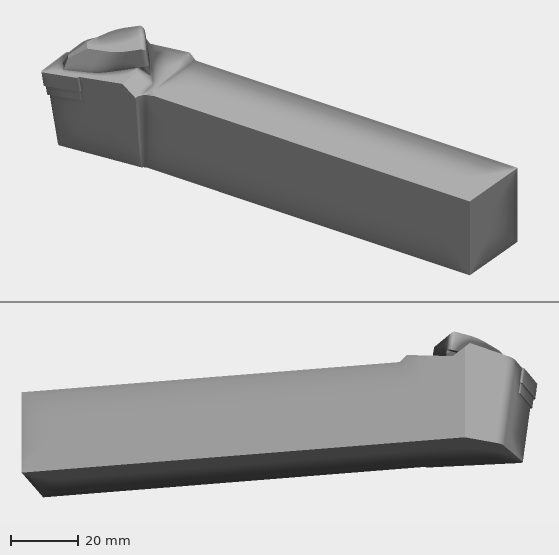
import cadquery as cq
import math

LENGTH = 150.0
SHANK_SIZE = 25.0
SHANK_START = 33.9

TIP_X = -0.06
TIP_Y = -7.0
TIP_Z = SHANK_SIZE
RAKE = math.tan(math.radians(6))

EDGE_LENGTH = 12.9
EDGE_SKEW = 5
TIP_ANGLE = 90 - 2 * EDGE_SKEW
BISECTOR = 45
TIP_RADIUS = 0.8
INSERT_THICKNESS = 4.8
SHIM_THICKNESS = 3.2
SHIM_INSET = 0.38

HEAD_INSET = 0.68
HEAD_CORNER_RADIUS = 1.2
HEAD_SHOULDER_RADIUS = 5.1
BEVEL_OFFSET = 17.8
NECK_RADIUS = 4.4 / 2
HEAD_DEPTH = 36.0
REACH = 60.0
MARGIN = 9.0

FLOOR_DROP = 4.6
SLOPE_RUN = 4.0
RIDGE_DISTANCE = 29.0
SIDE_RIDGE_X = 27.8

CLAMP_ANGLE = 36
CLAMP_SHIFT = 1.5
CLAMP_HEIGHT = 6.0
CLAMP_REAR = 32.4
CLAMP_REAR_RADIUS = 1.6
CLAMP_CORNER_RADIUS = 1.2
NOSE_FOOT = 7.0
NOSE_KNEE = 8.8
NOSE_KNEE_HEIGHT = 3.0
NOSE_TOP = 15.0
BASE_FLANK = [(5.1, 1.2), (14.8, 6.0), (21.8, 7.2)]
TOP_FLANK = [(11.8, 0.3), (20.4, 5.1), (26.7, 7.0)]
ARC_BULGE = 0.13

NOTCH_X = 2.2
NOTCH_Y = 2.5
NOTCH_Z = 0.5

TIP_PLANE = cq.Plane(
    origin=(TIP_X, TIP_Y, TIP_Z), xDir=(1, 0, RAKE), normal=(-RAKE, -RAKE, 1)
)


def plane_at(height):
    """The tip frame raised along its own normal."""
    return cq.Plane(
        origin=TIP_PLANE.toWorldCoords((0, 0, height)).toTuple(),
        xDir=TIP_PLANE.xDir,
        normal=TIP_PLANE.zDir,
    )


def polar(length, angle):
    return (length * math.cos(math.radians(angle)), length * math.sin(math.radians(angle)))


def corner_point(inset):
    """Corner of the cutting edges after both are moved inward by inset."""
    return polar(inset / math.sin(math.radians(TIP_ANGLE / 2)), BISECTOR)


def rhombus(top, thickness, inset):
    """Rhombic plate with round corners, top at the given height in the tip frame."""
    side = EDGE_LENGTH - 2 * inset / math.sin(math.radians(TIP_ANGLE))
    tip_x, tip_y = corner_point(inset)
    front_x, front_y = polar(side, EDGE_SKEW)
    left_x, left_y = polar(side, 90 - EDGE_SKEW)
    points = [
        (tip_x, tip_y),
        (tip_x + front_x, tip_y + front_y),
        (tip_x + front_x + left_x, tip_y + front_y + left_y),
        (tip_x + left_x, tip_y + left_y),
    ]
    plate = cq.Workplane(plane_at(top)).polyline(points).close().extrude(-thickness)
    return plate.edges(cq.selectors.ParallelDirSelector(TIP_PLANE.zDir)).fillet(TIP_RADIUS)


def clamp_plane(shift):
    """Frame for profiles along the clamp: X along its axis, Y up from the insert's top face."""
    axis_x, axis_y = polar(1.5, CLAMP_ANGLE)
    side_x, side_y = polar(shift, CLAMP_ANGLE + 90)
    axis = TIP_PLANE.toWorldCoords((axis_x, axis_y, 0)) - TIP_PLANE.origin
    return cq.Plane(
        origin=TIP_PLANE.toWorldCoords((side_x, side_y, 0)).toTuple(),
        xDir=axis,
        normal=axis.cross(TIP_PLANE.zDir),
    )


def make_slope_cutter():
    """Space above the two slopes, the fan that joins them, and the floor behind."""
    axis_cos, axis_sin = polar(1, CLAMP_ANGLE)
    corner_y = (RIDGE_DISTANCE - SIDE_RIDGE_X * axis_cos) / axis_sin
    corner = TIP_PLANE.toWorldCoords((SIDE_RIDGE_X, corner_y, 0))
    section = [
        (0, FLOOR_DROP),
        (0, 0),
        (SLOPE_RUN, -FLOOR_DROP),
        (REACH, -FLOOR_DROP),
        (REACH, FLOOR_DROP),
    ]

    def section_facing(direction):
        plane = cq.Plane(origin=corner, xDir=direction, normal=direction.cross(TIP_PLANE.zDir))
        return cq.Workplane(plane).polyline(section).close()

    side_slope = section_facing(TIP_PLANE.xDir).extrude(REACH)
    fan = section_facing(TIP_PLANE.xDir).revolve(CLAMP_ANGLE, (0, 0, 0), (0, 1, 0))
    clamp_slope = section_facing(clamp_plane(0).xDir).extrude(-REACH)
    return side_slope.union(fan).union(clamp_slope)


def round_upright_edge(body, point, radius):
    """Round the edge that runs along the tip frame's normal nearest to a point of that frame."""
    location = TIP_PLANE.toWorldCoords((*point, -HEAD_DEPTH / 2)).toTuple()
    upright = body.edges(cq.selectors.ParallelDirSelector(TIP_PLANE.zDir))
    return upright.edges(cq.selectors.NearestToPointSelector(location)).fillet(radius)


def make_head():
    corner = corner_point(HEAD_INSET)
    skew = math.tan(math.radians(EDGE_SKEW))
    shoulder_y = (BEVEL_OFFSET + corner[0] - skew * corner[1]) / (1 - skew)
    shoulder = (shoulder_y - BEVEL_OFFSET, shoulder_y)
    outline = [
        corner,
        (corner[0] + REACH, corner[1] + skew * REACH),
        (REACH, REACH + BEVEL_OFFSET),
        shoulder,
    ]
    head = cq.Workplane(TIP_PLANE).polyline(outline).close().extrude(-HEAD_DEPTH)
    head = round_upright_edge(head, corner, HEAD_CORNER_RADIUS)
    head = round_upright_edge(head, shoulder, HEAD_SHOULDER_RADIUS)

    neck_x = SHANK_START - NECK_RADIUS
    bend = NECK_RADIUS * math.sqrt(0.5)
    footprint = (
        cq.Workplane("XY")
        .moveTo(-MARGIN, TIP_Y - MARGIN)
        .lineTo(neck_x, TIP_Y - MARGIN)
        .lineTo(neck_x, -NECK_RADIUS)
        .threePointArc((SHANK_START - bend, bend - NECK_RADIUS), (SHANK_START, 0))
        .lineTo(SHANK_START, SHANK_SIZE)
        .lineTo(-MARGIN, SHANK_SIZE)
        .close()
        .extrude(REACH)
    )
    ramp = (
        cq.Workplane("XZ", origin=(SHANK_START, 0, SHANK_SIZE))
        .polyline([(0, 0), (0, REACH), (-REACH, REACH)])
        .close()
        .extrude(REACH, both=True)
    )
    return head.intersect(footprint).cut(ramp).cut(make_slope_cutter())


def make_notch():
    """Tetrahedron that trims the shank's corner beside the neck."""
    corner = (SHANK_START, 0, SHANK_SIZE)
    along = (SHANK_START + NOTCH_X, 0, SHANK_SIZE)
    across = (SHANK_START, NOTCH_Y, SHANK_SIZE)
    below = (SHANK_START, 0, SHANK_SIZE - NOTCH_Z)
    triangles = [
        (corner, along, across),
        (corner, along, below),
        (corner, across, below),
        (along, across, below),
    ]
    faces = [cq.Face.makeFromWires(cq.Wire.makePolygon(list(points), close=True)) for points in triangles]
    return cq.Workplane(cq.Solid.makeSolid(cq.Shell.makeShell(faces)))


def make_shank():
    shank = cq.Workplane("XY").box(LENGTH - SHANK_START, SHANK_SIZE, SHANK_SIZE, centered=False)
    return shank.translate((SHANK_START, 0, 0)).cut(make_notch())


def flank_wire(body, flank, rear):
    """Closed clamp outline, symmetric about the clamp axis, with a bend in each flank."""
    (nose, nose_half), (bend, bend_half), (straight, half) = flank
    slope = (bend_half - nose_half) / (bend - nose)
    middle = (bend + straight) / 2
    chord_half = (bend_half + half) / 2
    middle_half = chord_half + ARC_BULGE * slope * (straight - bend)
    inset = CLAMP_CORNER_RADIUS * (1 - math.sqrt(0.5))
    return (
        body.moveTo(nose, -nose_half)
        .lineTo(bend, -bend_half)
        .threePointArc((middle, -middle_half), (straight, -half))
        .lineTo(rear - CLAMP_CORNER_RADIUS, -half)
        .threePointArc((rear - inset, inset - half), (rear, CLAMP_CORNER_RADIUS - half))
        .lineTo(rear, half - CLAMP_CORNER_RADIUS)
        .threePointArc((rear - inset, half - inset), (rear - CLAMP_CORNER_RADIUS, half))
        .lineTo(straight, half)
        .threePointArc((middle, middle_half), (bend, bend_half))
        .lineTo(nose, nose_half)
        .close()
    )


def make_clamp():
    axis_plane = clamp_plane(CLAMP_SHIFT)
    base_plane = cq.Plane(origin=axis_plane.origin, xDir=axis_plane.xDir, normal=TIP_PLANE.zDir)
    base = flank_wire(cq.Workplane(base_plane), BASE_FLANK, CLAMP_REAR)
    flanks = flank_wire(base.workplane(offset=CLAMP_HEIGHT), TOP_FLANK, CLAMP_REAR).loft(ruled=True)
    heel_half_width = BASE_FLANK[-1][1] - CLAMP_CORNER_RADIUS
    heel = (
        cq.Workplane(axis_plane)
        .moveTo(RIDGE_DISTANCE, 0)
        .lineTo(CLAMP_REAR, 0)
        .lineTo(CLAMP_REAR, -FLOOR_DROP)
        .lineTo(RIDGE_DISTANCE, -FLOOR_DROP)
        .close()
        .extrude(heel_half_width, both=True)
    )
    bend = CLAMP_REAR_RADIUS * (1 - math.sqrt(0.5))
    profile = (
        cq.Workplane(axis_plane)
        .moveTo(NOSE_FOOT, 0)
        .lineTo(NOSE_KNEE, NOSE_KNEE_HEIGHT)
        .lineTo(NOSE_TOP, CLAMP_HEIGHT)
        .lineTo(CLAMP_REAR - CLAMP_REAR_RADIUS, CLAMP_HEIGHT)
        .threePointArc(
            (CLAMP_REAR - bend, CLAMP_HEIGHT - bend),
            (CLAMP_REAR, CLAMP_HEIGHT - CLAMP_REAR_RADIUS),
        )
        .lineTo(CLAMP_REAR, 0)
        .close()
        .extrude(REACH, both=True)
    )
    return flanks.intersect(profile).union(heel, clean=True)


insert = rhombus(0, INSERT_THICKNESS, 0)
shim = rhombus(-INSERT_THICKNESS, SHIM_THICKNESS, SHIM_INSET)
holder = make_shank().union(make_head()).union(shim).union(make_clamp()).cut(insert)

result = cq.Compound.makeCompound([holder.val(), insert.val()])